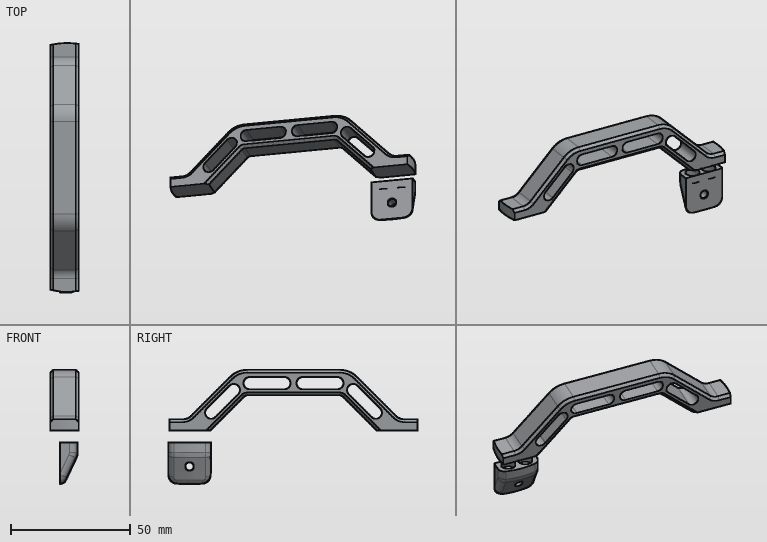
import cadquery as cq
import math

overall_length = 104.6

handle_length = 104.2
handle_width = 12.0
handle_height = 25.5
foot_thickness = 4.8
leg_thickness = 10.0
leg_angle = 45
grip_underside = 14.8
leg_outer_reach = 49.1
shoulder_radius = 10.0
ankle_radius = 5.0
inner_radius = 2.0
handle_chamfer = 1.3

end_bow_radius = 30.0
end_bow_peak_x = 1.2

slot_width = 5.0
grip_slot_length = 19.6
grip_slot_center_y = 11.1
grip_slot_center_z = 19.9
leg_slot_length = 18.4
leg_slot_center_y = 29.7

pad_gap = 4.9
pad_width = 18.0
pad_height = 17.5
pad_depth = 7.6
pad_back_x = -2.0
pad_straight_height = 5.2
pad_tip_depth = 1.9
pad_corner_radius = 4.0
pad_crown_radius = 30.0
pad_bend_radius = 5.0
pad_edge_radius = 3.0
pad_back_chamfer = 0.2
screw_diameter = 3.3
screw_chamfer = 0.2
screw_drop = 10.0
pocket_diameter = 6.0
pocket_depth = 3.5
pocket_spacing = 7.7
pocket_wall = 0.05

edge_tolerance = 0.01

leg_inner_reach = leg_outer_reach - leg_thickness * math.sqrt(2)
pad_center_y = -(overall_length - handle_length / 2) + pad_width / 2
pad_top_z = -pad_gap
pad_bottom_z = pad_top_z - pad_height
pad_front_x = pad_back_x + pad_depth


def edges_along_x_at(body, y, z):
    """Edges parallel to X that pass through (±y, z)."""

    def matches(edge):
        center = edge.Center()
        return abs(abs(center.y) - y) < edge_tolerance and abs(center.z - z) < edge_tolerance

    return body.edges("|X").filter(matches)


def handle_blank():
    """Bridge outline across the full width, with its corners rounded."""
    half = handle_length / 2
    shoulder_y = leg_outer_reach - handle_height
    ankle_y = leg_outer_reach - foot_thickness
    inner_y = leg_inner_reach - grip_underside
    right_side = [
        (inner_y, grip_underside),
        (leg_inner_reach, 0),
        (half, 0),
        (half, foot_thickness),
        (ankle_y, foot_thickness),
        (shoulder_y, handle_height),
    ]
    left_side = [(-y, z) for y, z in reversed(right_side)]
    blank = (
        cq.Workplane("YZ")
        .polyline(right_side + left_side)
        .close()
        .extrude(handle_width / 2, both=True)
    )
    blank = edges_along_x_at(blank, shoulder_y, handle_height).fillet(shoulder_radius)
    blank = edges_along_x_at(blank, ankle_y, foot_thickness).fillet(ankle_radius)
    return edges_along_x_at(blank, inner_y, grip_underside).fillet(inner_radius)


def chamfer_long_edges(body):
    """Chamfer the upper and inner outlines on both flanks, not the soles or foot ends."""

    def is_long_edge(edge):
        center = edge.Center()
        on_sole = center.z < edge_tolerance
        on_end = abs(center.y) > handle_length / 2 - edge_tolerance
        return not (on_sole or on_end)

    return body.faces("<X or >X").edges().filter(is_long_edge).chamfer(handle_chamfer)


def end_bow():
    """Upright prism whose two bowed ends trim the feet."""
    half_width = handle_width / 2
    peak_y = handle_length / 2

    def bow_y(x):
        offset = x - end_bow_peak_x
        return peak_y - end_bow_radius + math.sqrt(end_bow_radius**2 - offset**2)

    left_y = bow_y(-half_width)
    right_y = bow_y(half_width)
    return (
        cq.Workplane("XY")
        .moveTo(-half_width, -left_y)
        .threePointArc((end_bow_peak_x, -peak_y), (half_width, -right_y))
        .lineTo(half_width, right_y)
        .threePointArc((end_bow_peak_x, peak_y), (-half_width, left_y))
        .close()
        .extrude(handle_height)
    )


def slot_cutter(length, y, z, angle):
    """Round-ended slot through the handle width, turned about X."""
    return (
        cq.Workplane("YZ")
        .center(y, z)
        .slot2D(length, slot_width, angle)
        .extrude(handle_width, both=True)
    )


def make_handle():
    handle = chamfer_long_edges(handle_blank()).intersect(end_bow())
    leg_slot_center_z = (leg_outer_reach + leg_inner_reach) / 2 - leg_slot_center_y
    for side in (-1, 1):
        grip_slot = slot_cutter(grip_slot_length, side * grip_slot_center_y, grip_slot_center_z, 0)
        leg_slot = slot_cutter(
            leg_slot_length, side * leg_slot_center_y, leg_slot_center_z, -side * leg_angle
        )
        handle = handle.cut(grip_slot).cut(leg_slot)
    return handle


def crowned_prism(top_z, shift_x, height, back_x):
    """Solid with a crowned front, running down by height while the front moves by shift_x."""
    half = pad_width / 2
    sag = pad_crown_radius - math.sqrt(pad_crown_radius**2 - half**2)
    outline = (
        cq.Workplane("XY", origin=(0, pad_center_y, top_z))
        .moveTo(back_x, -half)
        .lineTo(pad_front_x - sag, -half)
        .threePointArc((pad_front_x, 0), (pad_front_x - sag, half))
        .lineTo(back_x, half)
        .close()
    )
    face = cq.Face.makeFromWires(outline.val())
    return cq.Workplane(cq.Solid.extrudeLinear(face, cq.Vector(shift_x, 0, -height)))


def pad_blank():
    """Crowned wedge with rounded edges, cut flat at the back."""
    blank_back_x = pad_back_x - pad_depth
    bend_z = pad_top_z - pad_straight_height
    slope_shift = pad_tip_depth - pad_depth
    upper = crowned_prism(pad_top_z, 0, pad_straight_height, blank_back_x)
    lower = crowned_prism(bend_z, slope_shift, pad_height - pad_straight_height, blank_back_x)
    bend_edge = cq.selectors.NearestToPointSelector((pad_front_x, pad_center_y, bend_z))
    wedge = upper.union(lower).edges(bend_edge).fillet(pad_bend_radius)

    blank_depth = 2 * pad_depth
    bounds = (
        cq.Workplane("XY", origin=(pad_back_x, pad_center_y, pad_bottom_z))
        .box(2 * blank_depth, pad_width, pad_height, centered=(True, True, False))
        .edges("|X and <Z")
        .fillet(pad_corner_radius)
    )
    wedge = wedge.intersect(bounds)
    bottom_edge = cq.selectors.NearestToPointSelector(
        (pad_back_x + pad_tip_depth, pad_center_y, pad_bottom_z)
    )
    wedge = wedge.edges(bottom_edge).fillet(pad_edge_radius)

    in_front = cq.Workplane("XY", origin=(pad_back_x, pad_center_y, pad_bottom_z)).box(
        pad_depth, pad_width, pad_height, centered=(False, True, False)
    )
    return wedge.intersect(in_front)


def screw_hole():
    """Horizontal hole through the pad, flared where it meets the back face."""
    radius = screw_diameter / 2
    back = cq.Workplane("YZ", origin=(pad_back_x, pad_center_y, pad_top_z - screw_drop))
    flare = cq.Solid.makeCone(
        radius + screw_chamfer,
        radius,
        screw_chamfer,
        pnt=back.plane.origin,
        dir=back.plane.zDir,
    )
    return back.circle(radius).extrude(pad_depth).union(cq.Workplane(flare))


def pocket_cutter(side):
    """Round blind pocket sunk into the pad top, to one side of the middle."""
    center_x = pad_back_x + pocket_wall + pocket_diameter / 2
    center_y = pad_center_y + side * pocket_spacing / 2
    return (
        cq.Workplane("XY", origin=(center_x, center_y, pad_top_z))
        .circle(pocket_diameter / 2)
        .extrude(-pocket_depth)
    )


def make_pad():
    pad = pad_blank()

    def is_below_top(edge):
        return edge.Center().z < pad_top_z - edge_tolerance

    pad = pad.faces("<X").edges().filter(is_below_top).chamfer(pad_back_chamfer)
    pad = pad.cut(screw_hole())
    for side in (-1, 1):
        pad = pad.cut(pocket_cutter(side))
    return pad


handle = make_handle()
pad = make_pad()
result = cq.Compound.makeCompound([handle.val(), pad.val()])